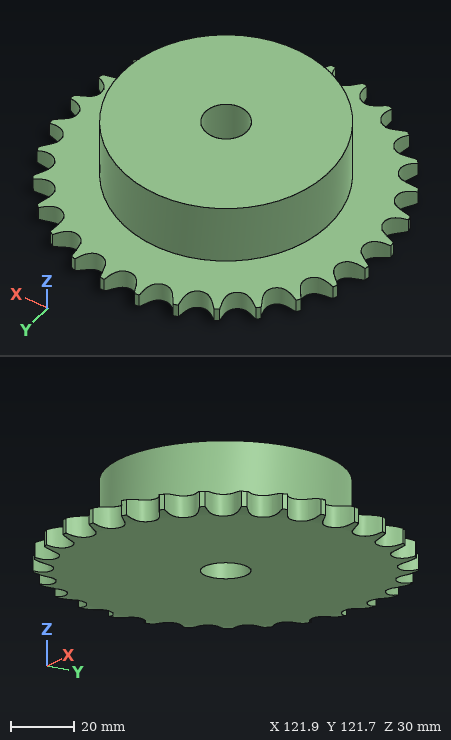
import cadquery as cq
import math

TOOTH_COUNT = 29
OVERALL_WIDTH = 121.9
PITCH_DIAMETER = 117.5
ROLLER_DIAMETER = 8.5
SEAT_CLEARANCE = 0.04
PLATE_THICKNESS = 7.2
FLAT_FACE_DIAMETER = 110.6
TOOTH_SIDE_RADIUS = 16.0
HUB_DIAMETER = 80.0
OVERALL_HEIGHT = 30.0
BORE_DIAMETER = 16.0

TOOTH_ANGLE = 360 / TOOTH_COUNT
FIRST_GAP_ANGLE = 90.0

SEAT_RADIUS = 0.5025 * ROLLER_DIAMETER + SEAT_CLEARANCE
WORKING_RADIUS = 1.3025 * ROLLER_DIAMETER + SEAT_CLEARANCE
SEAT_HALF_ANGLE = 90 - (35 + 60 / TOOTH_COUNT)
WORKING_SWEEP = 18 - 56 / TOOTH_COUNT
PRESSURE_ANGLE = 17 - 64 / TOOTH_COUNT
FLANK_ANGLE = SEAT_HALF_ANGLE + WORKING_SWEEP
WORKING_TURN = math.radians(WORKING_SWEEP)
PRESSURE_TURN = math.radians(PRESSURE_ANGLE)
STRAIGHT_LENGTH = ROLLER_DIAMETER * (1.4 * math.sin(PRESSURE_TURN) - 0.8 * math.sin(WORKING_TURN))
TOPPING_RADIUS = (
    ROLLER_DIAMETER * (0.8 * math.cos(WORKING_TURN) + 1.4 * math.cos(PRESSURE_TURN) - 1.3025)
    - SEAT_CLEARANCE
)


def polar(radius, angle, center=(0.0, 0.0)):
    """Point at a radius and an angle in degrees about a center."""
    turn = math.radians(angle)
    return (center[0] + radius * math.cos(turn), center[1] + radius * math.sin(turn))


def flank_arcs(gap_angle, side):
    """Centers of the seat, working and topping arcs on one side (+1 or -1) of a gap."""
    inward = gap_angle + 180
    flank_direction = inward + side * FLANK_ANGLE
    seat_center = polar(PITCH_DIAMETER / 2, gap_angle)
    working_center = polar(
        SEAT_RADIUS - WORKING_RADIUS, inward + side * SEAT_HALF_ANGLE, seat_center
    )
    straight_end = polar(
        STRAIGHT_LENGTH,
        flank_direction + side * 90,
        polar(WORKING_RADIUS, flank_direction, working_center),
    )
    topping_center = polar(TOPPING_RADIUS, flank_direction, straight_end)
    return seat_center, working_center, topping_center


def outer_radius():
    """Tip radius that puts the tooth corner nearest the X axis at half the overall width."""
    gaps_to_x_axis = TOOTH_COUNT // 4
    gap_angle = FIRST_GAP_ANGLE - gaps_to_x_axis * TOOTH_ANGLE
    topping_x, topping_y = flank_arcs(gap_angle, 1)[2]
    corner_x = OVERALL_WIDTH / 2
    corner_y = topping_y + math.sqrt(TOPPING_RADIUS**2 - (corner_x - topping_x)**2)
    return math.hypot(corner_x, corner_y)


def plate_blank():
    """Untoothed disc whose rim curves inwards on both sides."""
    tip_radius = outer_radius()
    flat_radius = FLAT_FACE_DIAMETER / 2

    def side_drop(radius):
        reach = radius - flat_radius
        return TOOTH_SIDE_RADIUS - math.sqrt(TOOTH_SIDE_RADIUS**2 - reach**2)

    middle_radius = (flat_radius + tip_radius) / 2
    middle_drop = side_drop(middle_radius)
    tip_drop = side_drop(tip_radius)
    half_section = (
        cq.Workplane("XZ")
        .lineTo(flat_radius, 0)
        .threePointArc((middle_radius, middle_drop), (tip_radius, tip_drop))
        .lineTo(tip_radius, PLATE_THICKNESS - tip_drop)
        .threePointArc(
            (middle_radius, PLATE_THICKNESS - middle_drop),
            (flat_radius, PLATE_THICKNESS),
        )
        .lineTo(0, PLATE_THICKNESS)
        .close()
    )
    return half_section.revolve(360, (0, 0, 0), (0, 1, 0))


def tooth_gap(gap_angle):
    """Cutter for one gap: a roller seat between two flanks, open past the tooth tips."""
    topping_sweep = 25.0
    inward = gap_angle + 180

    def flank(side):
        """Start, middle and end points of the working and topping arcs, from the seat outwards."""
        _, working_center, topping_center = flank_arcs(gap_angle, side)
        working = [
            polar(WORKING_RADIUS, inward + side * (SEAT_HALF_ANGLE + sweep), working_center)
            for sweep in (0, WORKING_SWEEP / 2, WORKING_SWEEP)
        ]
        topping = [
            polar(TOPPING_RADIUS, gap_angle + side * (FLANK_ANGLE - sweep), topping_center)
            for sweep in (0, topping_sweep / 2, topping_sweep)
        ]
        return working, topping

    seat_center = flank_arcs(gap_angle, 1)[0]
    seat_bottom = polar(SEAT_RADIUS, inward, seat_center)
    left_working, left_topping = flank(-1)
    right_working, right_topping = flank(1)
    return (
        cq.Workplane("XY")
        .moveTo(*left_topping[2])
        .threePointArc(left_topping[1], left_topping[0])
        .lineTo(*left_working[2])
        .threePointArc(left_working[1], left_working[0])
        .threePointArc(seat_bottom, right_working[0])
        .threePointArc(right_working[1], right_working[2])
        .lineTo(*right_topping[0])
        .threePointArc(right_topping[1], right_topping[2])
        .close()
        .extrude(PLATE_THICKNESS)
    )


def toothed_plate():
    plate = plate_blank()
    for index in range(TOOTH_COUNT):
        plate = plate.cut(tooth_gap(FIRST_GAP_ANGLE + index * TOOTH_ANGLE))
    return plate


hub = cq.Workplane("XY").circle(HUB_DIAMETER / 2).extrude(OVERALL_HEIGHT)
bore = cq.Workplane("XY").circle(BORE_DIAMETER / 2).extrude(OVERALL_HEIGHT)
result = toothed_plate().union(hub).cut(bore)